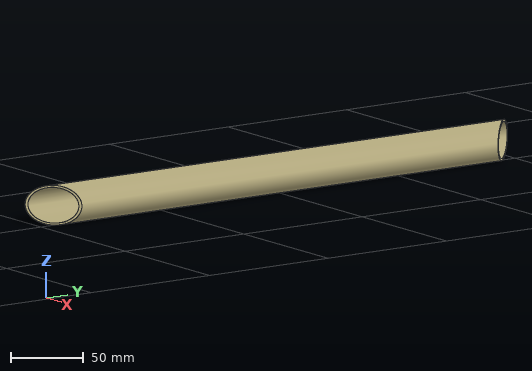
import cadquery as cq

length = 407.3
outer_diameter = 28.0
wall = 1.5

outer_radius = outer_diameter / 2
inner_radius = outer_radius - wall
half_length = length / 2
short_half_length = half_length - outer_diameter


def make_tube():
    return (
        cq.Workplane("XZ")
        .circle(outer_radius)
        .circle(inner_radius)
        .extrude(half_length, both=True)
    )


def make_mitre_envelope():
    """Trapezoid prism, full length on the -X side, that trims both ends."""
    return (
        cq.Workplane("XY")
        .polyline([
            (-outer_radius, -half_length),
            (outer_radius, -short_half_length),
            (outer_radius, short_half_length),
            (-outer_radius, half_length),
        ])
        .close()
        .extrude(outer_diameter, both=True)
    )


result = make_tube().intersect(make_mitre_envelope())